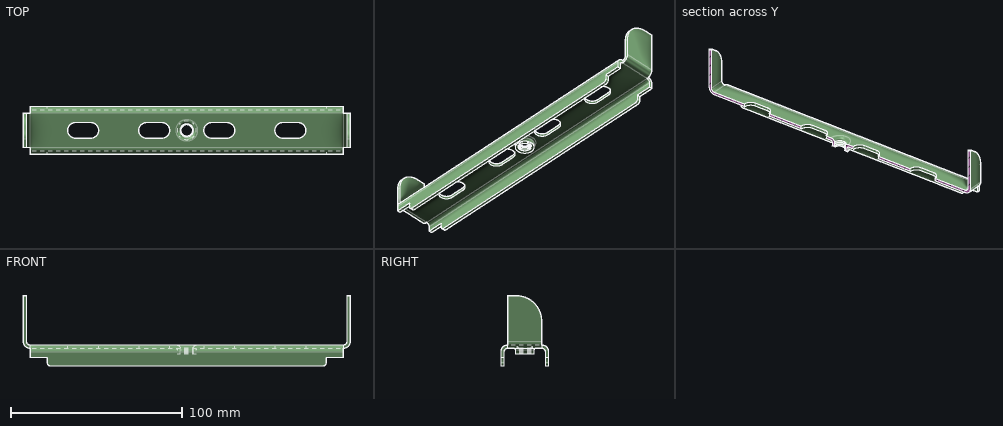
import cadquery as cq
import math

sheet = 2.0
overall_length = 191.0
channel_width = 28.0
channel_height = 12.4
overall_height = 41.22

channel_length = 183.0
leg_bend_outer = 4.0
leg_bend_inner = leg_bend_outer - sheet
web_width = channel_width - 2 * leg_bend_outer

lower_leg_length = 163.0
notch_height = 5.0
lower_corner_radius = 2.0

tab_width = web_width
tab_bend_outer = (overall_length - channel_length) / 2
tab_bend_inner = tab_bend_outer - sheet
tab_corner_radius = 15.0

slot_length = 18.0
slot_width = 9.0
slot_centers = (-60.5, -19.0, 19.0, 60.5)

bore_diameter = 6.65
collar_diameter = 11.0
collar_lip_radius = 3.0
collar_root_radius = 1.0
collar_height = 5.4

thread_diameter = 8.0
thread_pitch = 1.25
thread_count = 4

web_top = channel_height
web_bottom = web_top - sheet

DIAGONAL = math.sqrt(0.5)


def make_channel():
    """Inverted U section, extruded along X."""
    inner_width = channel_width - 2 * sheet
    outer = (
        cq.Workplane("XY")
        .box(channel_length, channel_width, channel_height, centered=(True, True, False))
        .edges("|X and >Z")
        .fillet(leg_bend_outer)
    )
    inner = (
        cq.Workplane("XY")
        .box(channel_length, inner_width, web_bottom, centered=(True, True, False))
        .edges("|X and >Z")
        .fillet(leg_bend_inner)
    )
    return outer.cut(inner)


def make_leg_envelope():
    """Stepped side outline of the legs, running through the full width."""
    upper_height = channel_height - notch_height
    upper = (
        cq.Workplane("XY", origin=(0, 0, notch_height))
        .box(channel_length, channel_width, upper_height, centered=(True, True, False))
    )
    lower = (
        cq.Workplane("XY")
        .box(lower_leg_length, channel_width, channel_height, centered=(True, True, False))
        .edges("|Y and <Z")
        .fillet(lower_corner_radius)
    )
    return upper.union(lower)


def make_right_tab():
    """Tab bent up from the +X end of the web, with one large rounded top corner."""
    start = channel_length / 2
    end = overall_length / 2
    outer_center_z = web_bottom + tab_bend_outer
    outer_middle = (start + tab_bend_outer * DIAGONAL, outer_center_z - tab_bend_outer * DIAGONAL)
    inner_middle = (start + tab_bend_inner * DIAGONAL, outer_center_z - tab_bend_inner * DIAGONAL)
    return (
        cq.Workplane("XZ")
        .moveTo(start, web_bottom)
        .threePointArc(outer_middle, (end, outer_center_z))
        .lineTo(end, overall_height)
        .lineTo(end - sheet, overall_height)
        .lineTo(end - sheet, outer_center_z)
        .threePointArc(inner_middle, (start, web_top))
        .close()
        .extrude(tab_width / 2, both=True)
        .edges("|X and >Z and >Y")
        .fillet(tab_corner_radius)
    )


def make_slots():
    """Cutters for the row of slots along the web."""
    return (
        cq.Workplane("XY", origin=(0, 0, web_bottom))
        .pushPoints([(x, 0) for x in slot_centers])
        .slot2D(slot_length, slot_width)
        .extrude(sheet)
    )


def make_collar():
    """Flared ring drawn down from the web, revolved about Z."""
    bore = bore_diameter / 2
    outside = collar_diameter / 2
    lip = bore + collar_lip_radius
    root = outside + collar_root_radius
    bottom = web_top - collar_height
    lip_arc = collar_lip_radius * (1 - DIAGONAL)
    root_arc = collar_root_radius * (1 - DIAGONAL)
    return (
        cq.Workplane("XZ")
        .moveTo(bore, bottom)
        .lineTo(outside, bottom)
        .lineTo(outside, web_bottom - collar_root_radius)
        .threePointArc((outside + root_arc, web_bottom - root_arc), (root, web_bottom))
        .lineTo(root, web_top)
        .lineTo(lip, web_top)
        .threePointArc((bore + lip_arc, web_top - lip_arc), (bore, web_top - collar_lip_radius))
        .close()
        .revolve(360, (0, 0, 0), (0, 1, 0))
    )


def make_collar_opening():
    """Opening in the web that the collar fills."""
    radius = bore_diameter / 2 + collar_lip_radius
    return cq.Workplane("XY", origin=(0, 0, web_bottom)).circle(radius).extrude(sheet)


def make_thread_grooves():
    """V-shaped ring grooves from the collar's lower face up into the flared lip."""
    crest = bore_diameter / 2
    groove_radius = thread_diameter / 2
    half_pitch = thread_pitch / 2
    bottom = web_top - collar_height
    profile = cq.Workplane("XZ").moveTo(0, bottom).lineTo(crest, bottom)
    for index in range(thread_count):
        groove_bottom = bottom + index * thread_pitch
        profile = profile.lineTo(groove_radius, groove_bottom + half_pitch)
        profile = profile.lineTo(crest, groove_bottom + thread_pitch)
    profile = profile.lineTo(0, bottom + thread_count * thread_pitch).close()
    return profile.revolve(360, (0, 0, 0), (0, 1, 0))


right_tab = make_right_tab()
left_tab = right_tab.mirror("YZ")

result = (
    make_channel()
    .intersect(make_leg_envelope())
    .union(right_tab)
    .union(left_tab)
    .cut(make_slots())
    .cut(make_collar_opening())
    .union(make_collar(), clean=True)
    .cut(make_thread_grooves())
)